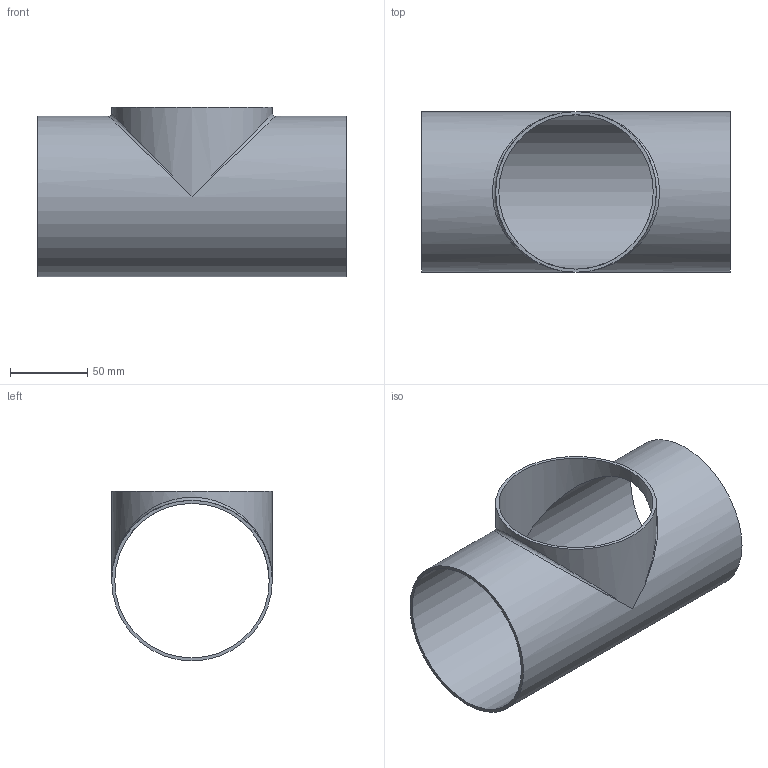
import cadquery as cq

outer_diameter = 104.0
wall_thickness = 2.0
run_length = 200.0
branch_height = 58.0
junction_fillet = 2.0

bore_diameter = outer_diameter - 2 * wall_thickness


def half_tee(diameter):
    """The +X half of a solid run and branch of one diameter."""
    run = cq.Workplane("YZ").circle(diameter / 2).extrude(run_length / 2)
    branch = cq.Workplane("XY").circle(diameter / 2).extrude(branch_height)
    positive_x = cq.Workplane("XY").box(
        run_length, 2 * diameter, 2 * branch_height, centered=(False, True, True)
    )
    return run.union(branch.intersect(positive_x))


def fillet_junction(body):
    """Round the crease, the elliptical curve where the two cylinders meet."""
    crease = [edge for edge in body.edges().vals() if edge.geomType() == "ELLIPSE"]
    return body.newObject(crease).fillet(junction_fillet)


def mirror_across_x(half):
    """Complete a +X half with its mirror image."""
    return half.union(half.mirror("YZ"))


outer_body = mirror_across_x(fillet_junction(half_tee(outer_diameter)))
bore = mirror_across_x(half_tee(bore_diameter))

result = outer_body.cut(bore)